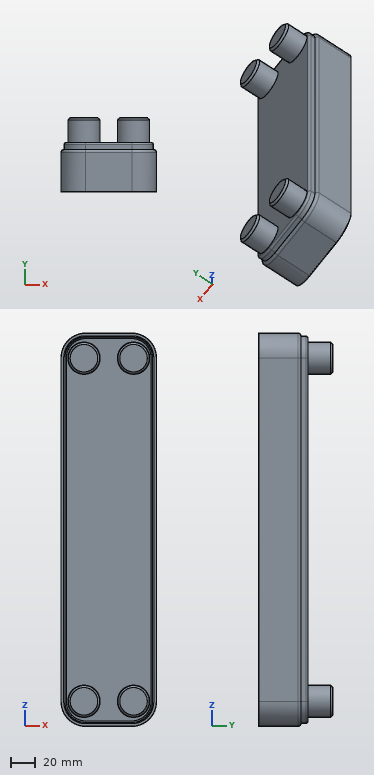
import cadquery as cq

height = 319.0
width = 77.5
corner_radius = 20.0
pack_back = 34.5
pack_back_fillet = 2.5

pack_rim_width = 2.2
pan_lip_width = 1.0
pan_wall_slope = 1.3
pan_depth = 5.7
pan_floor_thickness = 1.0

back_cover_inset = pack_back_fillet
back_cover_back = 40.2
back_cover_fillet = 2.0

tube_radius = 13.0
tube_chamfer = 2.0
tube_spacing_x = 40.2
tube_spacing_z = 278.2
tube_proud = 1.5
tube_front = pan_depth - tube_proud
tube_back = 60.3


def rounded_outline(inset, depth):
    """Rounded rectangle inset from the pack outline, drawn at a depth along Y."""
    return (
        cq.Sketch()
        .rect(width - 2 * inset, height - 2 * inset)
        .vertices()
        .fillet(corner_radius - inset)
        .moved(cq.Location(cq.Vector(0, 0, -depth)))
    )


def straight_block(inset, front, back):
    """Block with straight sides between two depths."""
    return cq.Workplane("XZ").placeSketch(rounded_outline(inset, front)).extrude(front - back)


def tapered_block(front_inset, back_inset, back):
    """Block from the front face to a depth, narrowing towards the back."""
    front_outline = rounded_outline(front_inset, 0)
    back_outline = rounded_outline(back_inset, back)
    return cq.Workplane("XZ").placeSketch(front_outline, back_outline).loft()


def fillet_back_edge(block, radius):
    return block.faces(">Y").edges().fillet(radius)


def make_tube(x, z):
    """Round bar along Y; its front end stands proud of the pan floor."""
    return (
        cq.Workplane("XZ", origin=(x, tube_front, z))
        .circle(tube_radius)
        .extrude(tube_front - tube_back)
        .faces("<Y or >Y")
        .chamfer(tube_chamfer)
    )


def cut_port_holes(body):
    """Open a matching hole for each tube."""
    for tube in tubes:
        body = body.cut(tube)
    return body


tubes = []
for x in (-tube_spacing_x / 2, tube_spacing_x / 2):
    for z in (-tube_spacing_z / 2, tube_spacing_z / 2):
        tubes.append(make_tube(x, z))

pan_outside = tapered_block(pack_rim_width, pack_rim_width + pan_wall_slope, pan_depth + pan_floor_thickness)
pan_mouth_inset = pack_rim_width + pan_lip_width
pan_inside = tapered_block(pan_mouth_inset, pan_mouth_inset + pan_wall_slope, pan_depth)

pack_block = fillet_back_edge(straight_block(0, 0, pack_back), pack_back_fillet)
pack = cut_port_holes(pack_block.cut(pan_outside))

front_cover = cut_port_holes(pan_outside.cut(pan_inside))

back_cover_block = straight_block(back_cover_inset, pack_back, back_cover_back)
back_cover = cut_port_holes(fillet_back_edge(back_cover_block, back_cover_fillet))

result = cq.Compound.makeCompound(
    [pack.val(), front_cover.val(), back_cover.val(), *[tube.val() for tube in tubes]]
)